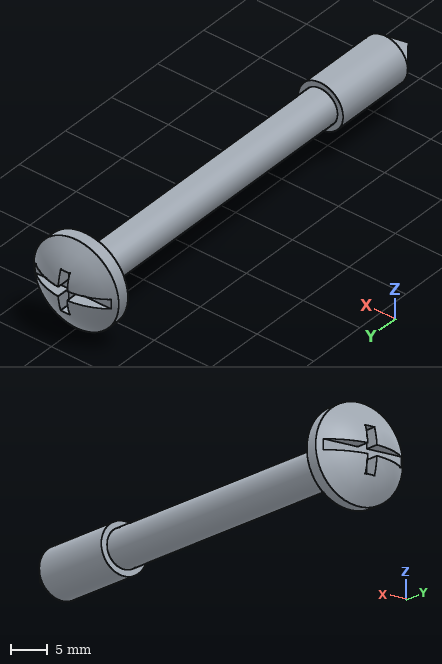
import cadquery as cq
import math

total_length = 75.0
head_radius = 7.5
rim_thickness = 2.0
dome_height = 3.0
shaft_radius = 3.0
root_fillet_radius = 0.5
collar_radius = 4.0
collar_length = 14.0
tip_length = 5.0

slot_width = 1.6
slot_depth = 2.3
recess_length = 7.0

dome_radius = (head_radius**2 + dome_height**2) / (2 * dome_height)
corner_radius = math.hypot(slot_width / 2, slot_width / 2)
crown_loss = dome_radius - math.sqrt(dome_radius**2 - corner_radius**2)

crown_y = total_length / 2 + crown_loss
rim_y = crown_y - dome_height
seat_y = rim_y - rim_thickness
tip_y = -total_length / 2
cone_y = tip_y + tip_length
collar_y = cone_y + collar_length
slot_floor_y = crown_y - slot_depth


def screw_body():
    """Revolve the half outline of the screw about the Y axis."""
    arc_mid_x = head_radius / 2
    arc_mid_y = crown_y - dome_radius + math.sqrt(dome_radius**2 - arc_mid_x**2)
    outline = (
        cq.Workplane("XY")
        .moveTo(0, tip_y)
        .lineTo(collar_radius, cone_y)
        .lineTo(collar_radius, collar_y)
        .lineTo(shaft_radius, collar_y)
        .lineTo(shaft_radius, seat_y - root_fillet_radius)
        .radiusArc((shaft_radius + root_fillet_radius, seat_y), root_fillet_radius)
        .lineTo(head_radius, seat_y)
        .lineTo(head_radius, rim_y)
        .threePointArc((arc_mid_x, arc_mid_y), (0, crown_y))
        .close()
    )
    return outline.revolve(360, (0, 0, 0), (0, 1, 0))


def drive_cutter(size_x, size_z):
    """Box reaching from the crown down to the drive floor."""
    floor_to_crown = cq.Workplane("XY").box(size_x, slot_depth, size_z)
    return floor_to_crown.translate((0, slot_floor_y + slot_depth / 2, 0))


slot = drive_cutter(2 * head_radius, slot_width)
cross_recess = drive_cutter(slot_width, recess_length)
result = screw_body().cut(slot).cut(cross_recess)